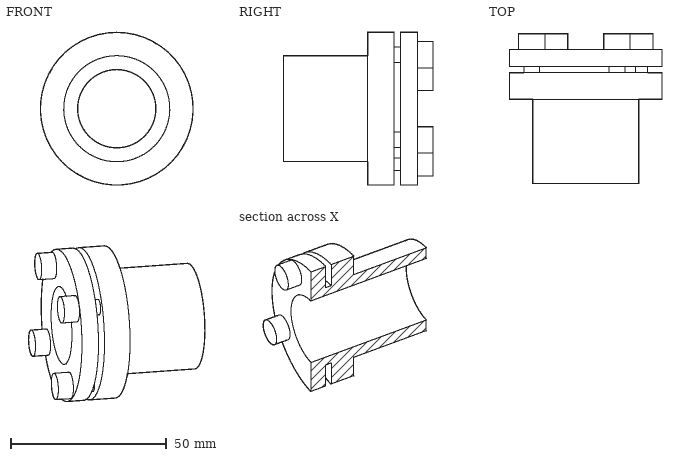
import math

import cadquery as cq


bore_diameter = 25.0
tube_diameter = 34.0
flange_diameter = 49.0
spigot_diameter = 31.8

tube_length = 27.0
flange_thickness = 8.5
gap_width = 2.0
clamp_ring_thickness = 5.5

bolt_count = 4
bolt_circle_radius = 20.0
first_bolt_angle = 60.0
shank_diameter = 5.0
head_diameter = 8.5
head_height = 5.0

flange_front = tube_length
flange_back = flange_front + flange_thickness
ring_front = flange_back + gap_width
ring_back = ring_front + clamp_ring_thickness


def cylinder(diameter, y_start, length, x=0.0, z=0.0):
    """Solid cylinder along +Y starting at y_start, with its axis at (x, z)."""
    start = cq.Vector(x, y_start, z)
    return cq.Workplane(cq.Solid.makeCylinder(diameter / 2, length, start, cq.Vector(0, 1, 0)))


def flanged_tube():
    """Tube with its thick flange."""
    tube = cylinder(tube_diameter, 0, tube_length)
    return tube.union(cylinder(flange_diameter, flange_front, flange_thickness))


def clamp_ring():
    """Rear ring with the narrower spigot that bridges the gap to the flange."""
    ring = cylinder(flange_diameter, ring_front, clamp_ring_thickness)
    return ring.union(cylinder(spigot_diameter, flange_back, gap_width))


def bolt(angle):
    """Shank across the gap and a plain round head behind the clamp ring."""
    x = bolt_circle_radius * math.cos(math.radians(angle))
    z = bolt_circle_radius * math.sin(math.radians(angle))
    shank = cylinder(shank_diameter, flange_back, ring_back - flange_back, x, z)
    return shank.union(cylinder(head_diameter, ring_back, head_height, x, z))


body = flanged_tube().union(clamp_ring())
for index in range(bolt_count):
    body = body.union(bolt(first_bolt_angle + index * 360.0 / bolt_count))

result = body.cut(cylinder(bore_diameter, 0, ring_back))